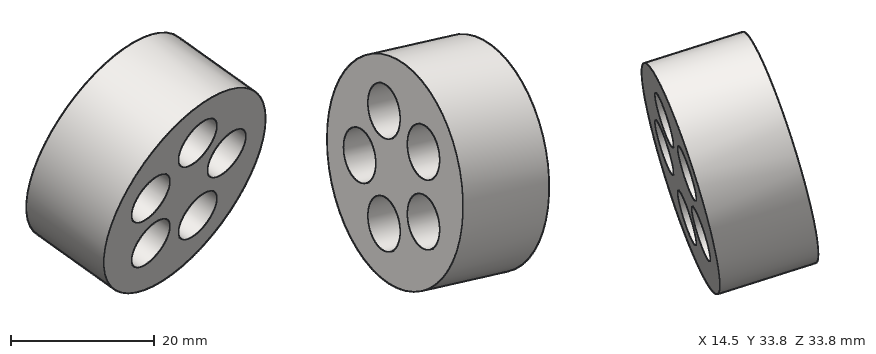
import cadquery as cq

disc_diameter = 33.8
disc_thickness = 14.5
hole_diameter = 8.0
hole_count = 5
hole_circle_radius = 8.75

disc = (
    cq.Workplane("YZ")
    .circle(disc_diameter / 2)
    .extrude(disc_thickness)
)

holes = (
    cq.Workplane("YZ")
    .polarArray(hole_circle_radius, 0, 360, hole_count)
    .circle(hole_diameter / 2)
    .extrude(disc_thickness)
)

result = disc.cut(holes)